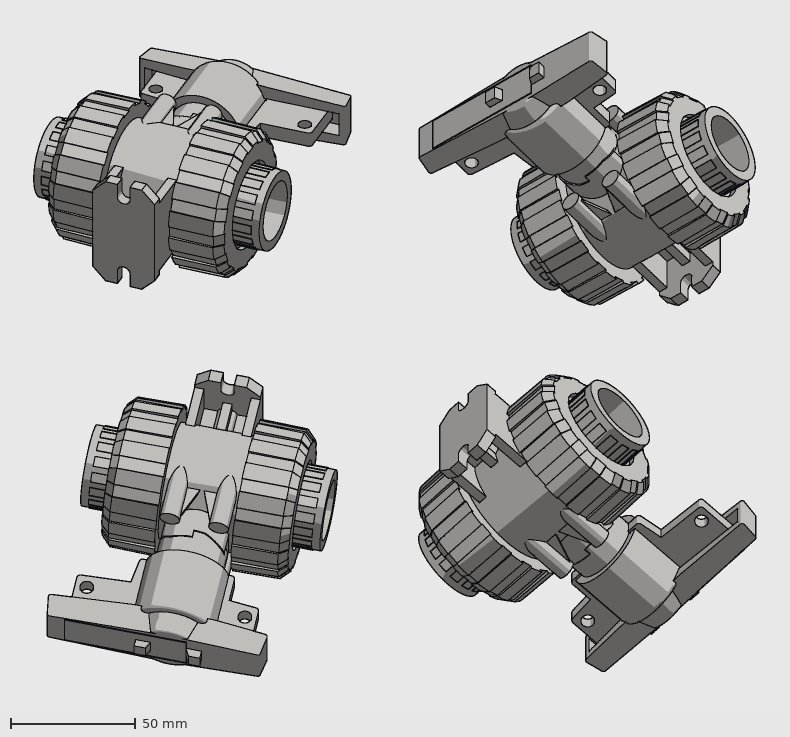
import cadquery as cq


body_radius = 24.0
pipe_radius = 16.7
pipe_half_length = 49.3
bore_radius = 20.0 / 2
socket_radius = 12.5
socket_depth = 19.2

nut_inner_x = 15.7
nut_outer_x = 38.4
nut_chamfer = 3.5
tooth_radius_inner = 31.1
tooth_radius_outer = 30.7
groove_floor_radius = 29.9
nut_groove_width = 5.3
tooth_count = 16
tooth_pitch = 360 / tooth_count
nut_mouth_radius = 37.0 / 2
nut_mouth_depth = 2.4

pad_height = 0.3
pad_width = 4.1
pad_outer_x = 45.9

foot_bottom_y = -40.0
foot_thickness = 4.9
foot_top_y = foot_bottom_y + foot_thickness
foot_half_width = 13.5
foot_half_height = 24.1
foot_chamfer = 5.6
foot_slot_width = 5.5
foot_slot_end_z = 15.4
rib_thickness = 3.8
cross_web_thickness = 1.4
side_rib_half_height = 16.4
center_rib_half_height = 8.5
foot_boss_radius = 4.1
rib_end_y = -pipe_radius

stem_radius = 28.0 / 2
neck_radius = 14.6
neck_half_width = 13.2
stop_low_y = 28.7
stop_high_y = 31.7
stop_ramp_x = 4.8
stop_slope_x = 9.1
stop_slope_end_y = 29.7
lug_radius = 4.1
lug_x = 10.1
lug_z = 19.3
lug_top_y = 28.2
gusset_thickness = 1.3
gusset_outer_z = 20.1
gusset_top_x = 6.8
gusset_foot_x = 0.8
gusset_foot_y = 13.0

hub_radius = 17.4
hub_bottom_y = 40.3
hub_top_y = 65.5
cap_top_y = 68.1
cap_edge = 1.7
cone_base_radius = 14.9
cone_top_radius = 12.7
grip_top_y = 76.5
cone_edge = 1.2

grip_left_x = -38.9
grip_right_x = 51.6
grip_end_lean = 1.4
grip_left_y = 66.9
grip_right_y = 67.0
grip_corner = 1.1
grip_mid_half_height = 10.7
grip_end_half_height = 8.5
grip_draft = 5.0
channel_half_height = 5.3
channel_wall = 2.8
channel_ceiling_y = 74.1
badge_half_height = 8.3
badge_top_y = 76.9

web_half_thickness = 3.2
web_left_x = -32.0
web_right_x = 42.8
web_low_left_x = -19.4
web_low_right_x = 19.7
web_step_right_x = 21.1
web_bottom_y = 39.7
web_ear_y = 52.3
web_step_y = 51.1
web_corner = 1.4
ear_hole_radius = 2.8
ear_hole_y = 57.3
ear_hole_left_x = -27.2
ear_hole_right_x = 37.9
slit_outer_z = 4.0
slit_top_y = 66.8
stem_top_y = 51.3

prong_top_y = 79.9
prong_outer_x = 13.5
prong_tip_x = 8.9
prong_root_x = 7.3


def cylinder_x(radius, x_start, x_end):
    return cq.Workplane("YZ", origin=(x_start, 0, 0)).circle(radius).extrude(x_end - x_start)


def cylinder_y(radius, y_start, y_end, x=0.0, z=0.0):
    return cq.Workplane("XZ", origin=(x, y_end, z)).circle(radius).extrude(y_end - y_start)


def block(x_start, x_end, y_start, y_end, z_start, z_end):
    return (
        cq.Workplane("XY", origin=(x_start, y_start, z_start))
        .box(x_end - x_start, y_end - y_start, z_end - z_start, centered=False)
    )


def slab(points, z_start, z_end):
    """Closed outline in X and Y, filled between two Z levels."""
    return cq.Workplane("XY", origin=(0, 0, z_start)).polyline(points).close().extrude(z_end - z_start)


def nut_blank(inner_end_radius, outer_end_radius):
    """Turned nut on the +X side with a 45 degree chamfer at its outer end."""
    return (
        cq.Workplane("XY")
        .moveTo(nut_inner_x, 0)
        .lineTo(nut_inner_x, inner_end_radius)
        .lineTo(nut_outer_x - nut_chamfer, outer_end_radius)
        .lineTo(nut_outer_x, outer_end_radius - nut_chamfer)
        .lineTo(nut_outer_x, 0)
        .close()
        .revolve(360, (0, 0, 0), (1, 0, 0))
    )


def ring_of(feature):
    """Copies of a feature spread evenly around the flow axis."""
    return [feature.rotate((0, 0, 0), (1, 0, 0), index * tooth_pitch) for index in range(tooth_count)]


def make_nut():
    teeth = nut_blank(tooth_radius_inner, tooth_radius_outer)
    half_groove = nut_groove_width / 2
    groove = block(nut_inner_x, nut_outer_x, -half_groove, half_groove, nut_mouth_radius, body_radius * 2)
    for turned_groove in ring_of(groove):
        teeth = teeth.cut(turned_groove)
    nut = teeth.union(nut_blank(groove_floor_radius, groove_floor_radius))
    return nut.cut(cylinder_x(nut_mouth_radius, nut_outer_x - nut_mouth_depth, nut_outer_x))


def make_pipe_end():
    """Pipe end on the +X side with raised pads around it."""
    pipe = cylinder_x(pipe_radius, 0, pipe_half_length)
    pad_start_x = nut_outer_x - nut_mouth_depth
    pad_ring = cylinder_x(pipe_radius + pad_height, pad_start_x, pad_outer_x)
    bar = block(pad_start_x, pad_outer_x, -pad_width / 2, pad_width / 2, socket_radius, body_radius)
    pad = bar.intersect(pad_ring)
    for turned_pad in ring_of(pad):
        pipe = pipe.union(turned_pad)
    return pipe


def make_foot():
    foot = (
        cq.Workplane("XZ", origin=(0, foot_top_y, 0))
        .rect(2 * foot_half_width, 2 * foot_half_height)
        .extrude(foot_thickness)
        .edges("|Y")
        .chamfer(foot_chamfer)
    )
    slot_radius = foot_slot_width / 2
    slot_center_z = foot_slot_end_z + slot_radius
    for side in (1, -1):
        z_limits = sorted((side * slot_center_z, side * foot_half_height))
        foot = foot.cut(block(-slot_radius, slot_radius, foot_bottom_y, foot_top_y, *z_limits))
        foot = foot.cut(cylinder_y(slot_radius, foot_bottom_y, foot_top_y, z=side * slot_center_z))

    side_rib_x = foot_half_width - rib_thickness / 2
    for rib_x, half_height in (
        (-side_rib_x, side_rib_half_height),
        (0, center_rib_half_height),
        (side_rib_x, side_rib_half_height),
    ):
        rib = block(
            rib_x - rib_thickness / 2, rib_x + rib_thickness / 2,
            foot_top_y, rib_end_y, -half_height, half_height,
        )
        foot = foot.union(rib)
    cross_web = block(
        -foot_half_width, foot_half_width, foot_top_y, rib_end_y,
        -cross_web_thickness / 2, cross_web_thickness / 2,
    )
    return foot.union(cross_web).union(cylinder_y(foot_boss_radius, foot_top_y, rib_end_y))


def make_neck():
    """Neck with a stepped rotation stop on its rim, the same on both sides by a half turn."""
    rim = [
        (-neck_half_width, 0),
        (-neck_half_width, stop_high_y),
        (-stop_ramp_x, stop_low_y),
        (0, stop_low_y),
        (0, stop_high_y),
        (stop_slope_x, stop_high_y),
        (neck_half_width, stop_slope_end_y),
        (neck_half_width, 0),
    ]
    half = slab(rim, 0, neck_radius)
    outline = half.union(half.rotate((0, 0, 0), (0, 1, 0), 180))
    neck = cylinder_y(neck_radius, 0, stop_high_y).intersect(outline)
    return neck.union(cylinder_y(stem_radius, stop_low_y, hub_bottom_y))


def make_screw_lug():
    """Round screw lug and its thin gusset at +X, +Z."""
    lug = cylinder_y(lug_radius, 0, lug_top_y, lug_x, lug_z)
    gusset = slab(
        [
            (lug_x, lug_top_y),
            (gusset_top_x, lug_top_y),
            (gusset_foot_x, gusset_foot_y),
            (gusset_foot_x, 0),
            (lug_x, 0),
        ],
        gusset_outer_z - gusset_thickness,
        gusset_outer_z,
    )
    return lug.union(gusset)


def make_hub():
    hub = cylinder_y(hub_radius, hub_bottom_y, hub_top_y)
    cap = cylinder_y(hub_radius, hub_top_y, cap_top_y).faces(">Y").edges().fillet(cap_edge)
    cone = (
        cq.Workplane("XY")
        .moveTo(0, cap_top_y)
        .lineTo(cone_base_radius, cap_top_y)
        .lineTo(cone_top_radius, grip_top_y)
        .lineTo(0, grip_top_y)
        .close()
        .revolve(360, (0, 0, 0), (0, 1, 0))
        .faces(">Y")
        .edges()
        .fillet(cone_edge)
    )
    return hub.union(cap).union(cone)


def make_grip():
    """Cross bar that is tallest at the stem, drafted on its flanks and open toward the valve."""
    side_outline = [
        (grip_left_x, grip_left_y),
        (grip_left_x + grip_end_lean, grip_top_y),
        (grip_right_x - grip_end_lean, grip_top_y),
        (grip_right_x, grip_right_y),
        (hub_radius, hub_top_y),
        (-hub_radius, hub_top_y),
    ]
    bar = slab(side_outline, -hub_radius, hub_radius)
    bar = bar.edges("|Z and (<X or >X or >Y)").fillet(grip_corner)

    flanks = (
        cq.Workplane("XZ", origin=(0, grip_top_y, 0))
        .polyline(
            [
                (grip_left_x, grip_end_half_height),
                (0, grip_mid_half_height),
                (grip_right_x, grip_end_half_height),
                (grip_right_x, -grip_end_half_height),
                (0, -grip_mid_half_height),
                (grip_left_x, -grip_end_half_height),
            ]
        )
        .close()
        .extrude(grip_top_y - hub_top_y, taper=-grip_draft)
    )
    channel = block(
        grip_left_x + channel_wall, grip_right_x - channel_wall,
        hub_top_y, channel_ceiling_y, -channel_half_height, channel_half_height,
    )
    badge = block(
        -prong_root_x, web_right_x, channel_ceiling_y, badge_top_y, -badge_half_height, badge_half_height
    )
    return bar.intersect(flanks).cut(channel).union(badge)


def make_web():
    """Flat locking web through the handle, with a hole in each ear and two prongs on top."""
    top_y = channel_ceiling_y + web_corner
    outline = [
        (web_left_x, top_y),
        (web_left_x, web_ear_y),
        (web_low_left_x, web_step_y),
        (web_low_left_x, web_bottom_y),
        (web_low_right_x, web_bottom_y),
        (web_step_right_x, web_step_y),
        (web_right_x, web_ear_y),
        (web_right_x, top_y),
    ]
    web = slab(outline, -web_half_thickness, web_half_thickness)
    web = web.edges("|Z and (<X or >X or <Y)").fillet(web_corner)
    for hole_x in (ear_hole_left_x, ear_hole_right_x):
        hole = cq.Workplane("XY", origin=(hole_x, ear_hole_y, -web_half_thickness))
        web = web.cut(hole.circle(ear_hole_radius).extrude(2 * web_half_thickness))
    for side in (1, -1):
        prong = [
            (side * prong_outer_x, channel_ceiling_y),
            (side * prong_outer_x, prong_top_y),
            (side * prong_tip_x, prong_top_y),
            (side * prong_root_x, badge_top_y),
            (side * prong_root_x, channel_ceiling_y),
        ]
        web = web.union(slab(prong, -web_half_thickness, web_half_thickness))
    return web


def make_handle():
    """Hub and grip joined by the web; the hub is slit on both sides of the web."""
    hub = make_hub()
    slit = block(-hub_radius, hub_radius, hub_bottom_y, slit_top_y, -slit_outer_z, slit_outer_z)
    shell = hub.union(make_grip()).cut(slit)
    stem = cylinder_y(stem_radius, hub_bottom_y, stem_top_y)
    return shell.union(stem).union(make_web())


valve = cylinder_x(body_radius, -nut_inner_x, nut_inner_x)
for end in (make_pipe_end(), make_nut()):
    valve = valve.union(end).union(end.mirror("YZ"))

lug_right = make_screw_lug()
lug_pair = lug_right.union(lug_right.mirror("YZ"))
valve = valve.union(lug_pair).union(lug_pair.mirror("XY"))

valve = valve.union(make_foot()).union(make_neck()).union(make_handle())

valve = valve.cut(cylinder_x(bore_radius, -pipe_half_length, pipe_half_length))
socket = cylinder_x(socket_radius, pipe_half_length - socket_depth, pipe_half_length)
result = valve.cut(socket).cut(socket.mirror("YZ"))